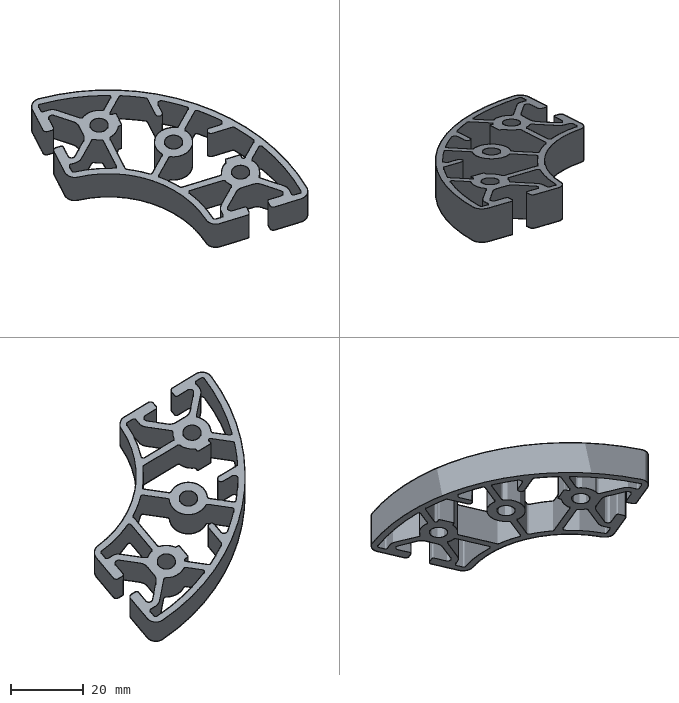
import cadquery as cq
import math


span = 59.9
height = 10.0
wall = 2.0
corner_radius = 3.0
outer_radius = corner_radius + math.hypot(span - corner_radius, corner_radius)
inner_radius = outer_radius / 2
mean_radius = (outer_radius + inner_radius) / 2

hole_diameter = 5.0
boss_diameter = 10.55
boss_x = -(outer_radius - inner_radius) / 2
boss_y = mean_radius
middle_x = -mean_radius / math.sqrt(2)
middle_y = -middle_x

slot_opening = 6.2
slot_depth = 9.7
slot_floor_width = 5.75
lip_thickness = 3.0

tab_width = 4.55
tab_reach = 5.9
rib_tip_y = 41.9

small_radius = 0.6
large_radius = 1.0
bend_radius = 3.0
nook_radius = 0.5
tab_radius = 0.25

bend_factor = math.tan(math.radians(22.5))
slot_low = boss_y - slot_opening / 2
slot_high = boss_y + slot_opening / 2
slot_reach = slot_floor_width / 2 + slot_depth - lip_thickness
slot_half_width = slot_reach + large_radius - large_radius / bend_factor
shell_half_width = slot_half_width + wall
shell_floor_x = -slot_depth - wall
shell_floor_half = slot_floor_width / 2 + wall * bend_factor
shell_shoulder_x = shell_floor_x + shell_half_width - shell_floor_half
tab_x = boss_x - tab_reach
rib_left = middle_x - wall / 2
rib_right = middle_x + wall / 2
rib_end_y = rib_tip_y + wall / 2
hollow_radius = outer_radius - wall


def cylinder(radius, x=0.0, y=0.0):
    body = cq.Workplane().circle(radius).extrude(height)
    return body.rotate((0, 0, 0), (0, 0, 1), -45).translate((x, y, 0))


def block(x_min, x_max, y_min, y_max):
    body = cq.Workplane().box(x_max - x_min, y_max - y_min, height, centered=False)
    return body.translate((x_min, y_min, 0))


def prism(points):
    return cq.Workplane().polyline(points).close().extrude(height)


def diagonal_web(x, y, start, end):
    """Web along the outward diagonal, from start to end measured from (x, y)."""
    web = block(start, end, -wall / 2, wall / 2)
    return web.rotate((0, 0, 0), (0, 0, 1), 135).translate((x, y, 0))


def with_mirror(body):
    return body.union(body.mirror((1, 1, 0)))


def mirrored_points(points):
    return points + [(-y, -x) for x, y in points]


def make_frame():
    """Solid ring sector, and the same sector hollowed to arc walls and end walls."""
    quadrant = block(-outer_radius, 0, 0, outer_radius)
    sector = cylinder(outer_radius).cut(cylinder(inner_radius)).intersect(quadrant)
    inside = block(-outer_radius, -wall, wall, outer_radius)
    hollow = cylinder(hollow_radius).cut(cylinder(inner_radius + wall)).intersect(inside)
    return sector, sector.cut(hollow)


def make_end():
    """Slot shell, boss, tab, webs and rib belonging to the end face on x = 0."""
    shell = prism([
        (0, boss_y - shell_half_width),
        (shell_shoulder_x, boss_y - shell_half_width),
        (shell_floor_x, boss_y - shell_floor_half),
        (shell_floor_x, boss_y + shell_floor_half),
        (shell_shoulder_x, boss_y + shell_half_width),
        (0, boss_y + shell_half_width),
    ])
    boss = cylinder(boss_diameter / 2, boss_x, boss_y)
    tab = block(tab_x, boss_x, boss_y - tab_width / 2, boss_y + tab_width / 2)
    outer_web = diagonal_web(boss_x, boss_y, 0, outer_radius)
    inner_web = block(boss_x - wall / 2, boss_x + wall / 2, 0, boss_y)
    rib = block(rib_left, rib_right, rib_end_y, outer_radius)
    return shell.union(boss).union(tab).union(outer_web).union(inner_web).union(rib)


def make_slot():
    cavity = prism([
        (-lip_thickness, boss_y - slot_reach),
        (-slot_depth, boss_y - slot_floor_width / 2),
        (-slot_depth, boss_y + slot_floor_width / 2),
        (-lip_thickness, boss_y + slot_reach),
    ])
    return cavity.union(block(-lip_thickness, 0, slot_low, slot_high))


def is_near(edge, points, distance):
    centre = edge.Center()
    return any(math.hypot(centre.x - x, centre.y - y) < distance for x, y in points)


def round_edges(body, points, radius):
    """Fillet the vertical edges that stand on the given points."""
    return body.edges("|Z").filter(lambda edge: is_near(edge, points, 0.005)).fillet(radius)


sector, frame = make_frame()
middle_boss = cylinder(boss_diameter / 2, middle_x, middle_y)
middle_web = diagonal_web(0, 0, inner_radius, outer_radius)
inner_parts = with_mirror(make_end()).union(middle_boss).union(middle_web)
profile = frame.union(inner_parts.intersect(sector)).cut(with_mirror(make_slot()))

nook_tangent = nook_radius / bend_factor
nook_tip_x = boss_x - tab_width / 2 - wall / math.sqrt(2)
nook_tip_y = boss_y + tab_width / 2
nook_x = nook_tip_x - nook_tangent
nook_y = nook_tip_y + nook_radius
nooks = mirrored_points([(nook_x, nook_y)])

bend_edges = mirrored_points([
    (0, outer_radius),
    (0, inner_radius),
    (-slot_depth, boss_y - slot_floor_width / 2),
    (-slot_depth, boss_y + slot_floor_width / 2),
    (shell_shoulder_x, boss_y - shell_half_width),
    (shell_shoulder_x, boss_y + shell_half_width),
])
large_edges = mirrored_points([
    (0, slot_low),
    (0, slot_high),
    (-lip_thickness, boss_y - slot_reach),
    (-lip_thickness, boss_y + slot_reach),
    (rib_left, math.sqrt(hollow_radius**2 - rib_left**2)),
])
tab_edges = mirrored_points([
    (tab_x, boss_y - tab_width / 2),
    (tab_x, boss_y + tab_width / 2),
])
rib_end_edges = mirrored_points([(rib_left, rib_end_y), (rib_right, rib_end_y)])
special_edges = bend_edges + large_edges + tab_edges + rib_end_edges

plain_edges = profile.edges("|Z").filter(lambda edge: not is_near(edge, special_edges, 0.005))
plain_edges = plain_edges.filter(lambda edge: not is_near(edge, nooks, 2 * nook_radius))
profile = plain_edges.fillet(small_radius)
profile = round_edges(profile, large_edges, large_radius)
profile = round_edges(profile, bend_edges, bend_radius)
profile = round_edges(profile, tab_edges, tab_radius)

profile = profile.union(with_mirror(cylinder(wall / 2, middle_x, rib_end_y)))

nook_fill = prism([
    (nook_tip_x, nook_tip_y),
    (nook_x, nook_tip_y),
    (nook_tip_x - nook_tangent / math.sqrt(2), nook_tip_y + nook_tangent / math.sqrt(2)),
])
profile = profile.union(with_mirror(nook_fill))
profile = profile.cut(with_mirror(cylinder(nook_radius, nook_x, nook_y)))

end_holes = with_mirror(cylinder(hole_diameter / 2, boss_x, boss_y))
middle_hole = cylinder(hole_diameter / 2, middle_x, middle_y)
result = profile.cut(end_holes).cut(middle_hole)